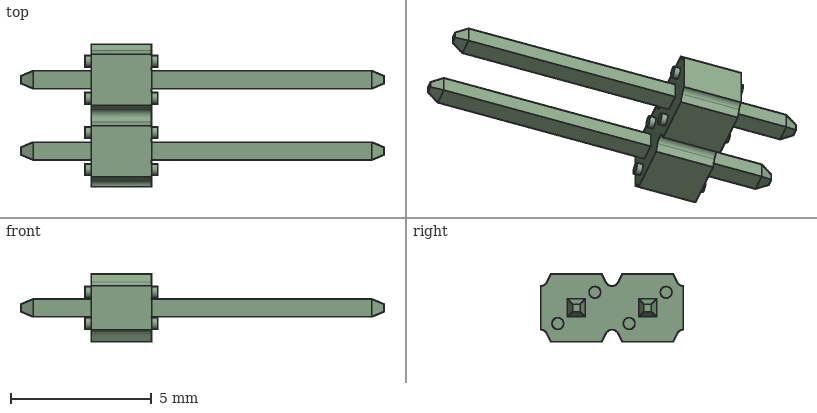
import cadquery as cq

pin_length = 12.91
body_length = 5.07
body_height = 2.41
position_count = 2
pitch = body_length / position_count

body_start = 2.49
body_width = 2.15

groove_half_width = 0.36
groove_arc_half_width = 0.22
groove_flank_depth = 0.28
groove_depth = 0.43

pin_size = 0.65
tip_size = 0.27
tip_length = 0.44

peg_diameter = 0.41
peg_height = 0.22
peg_offset_y = 0.66
peg_offset_z = 0.55


def make_groove(y, side):
    """Groove cutter at y, on the top (side = 1) or bottom (side = -1)."""
    surface = body_height / 2
    arc_start = side * (surface - groove_flank_depth)
    return (
        cq.Workplane("YZ", origin=(body_start, y, 0))
        .moveTo(-groove_half_width, side * surface)
        .lineTo(-groove_arc_half_width, arc_start)
        .threePointArc((0, side * (surface - groove_depth)), (groove_arc_half_width, arc_start))
        .lineTo(groove_half_width, side * surface)
        .close()
        .extrude(body_width)
    )


def make_body():
    body = cq.Workplane("XY").box(body_width, body_length, body_height)
    body = body.translate((body_start + body_width / 2, 0, 0))
    for boundary in range(position_count + 1):
        y = boundary * pitch - body_length / 2
        for side in (1, -1):
            body = body.cut(make_groove(y, side))
    return body


def make_tip(base_x, end_x, y):
    """Tapered pin end from full size at base_x to tip size at end_x."""
    return (
        cq.Workplane("YZ", origin=(base_x, y, 0))
        .rect(pin_size, pin_size)
        .workplane(offset=end_x - base_x)
        .rect(tip_size, tip_size)
        .loft(ruled=True)
    )


def make_pin(y):
    shaft_end = pin_length - tip_length
    shaft = (
        cq.Workplane("YZ", origin=(tip_length, y, 0))
        .rect(pin_size, pin_size)
        .extrude(shaft_end - tip_length)
    )
    return shaft.union(make_tip(tip_length, 0, y)).union(make_tip(shaft_end, pin_length, y))


def make_pegs(y):
    """Two pegs passing through the body and standing out on both faces."""
    return (
        cq.Workplane("YZ", origin=(body_start - peg_height, y, 0))
        .pushPoints([(peg_offset_y, peg_offset_z), (-peg_offset_y, -peg_offset_z)])
        .circle(peg_diameter / 2)
        .extrude(body_width + 2 * peg_height)
    )


result = make_body()
for position in range(position_count):
    pin_y = (position + 0.5) * pitch - body_length / 2
    result = result.union(make_pin(pin_y)).union(make_pegs(pin_y))